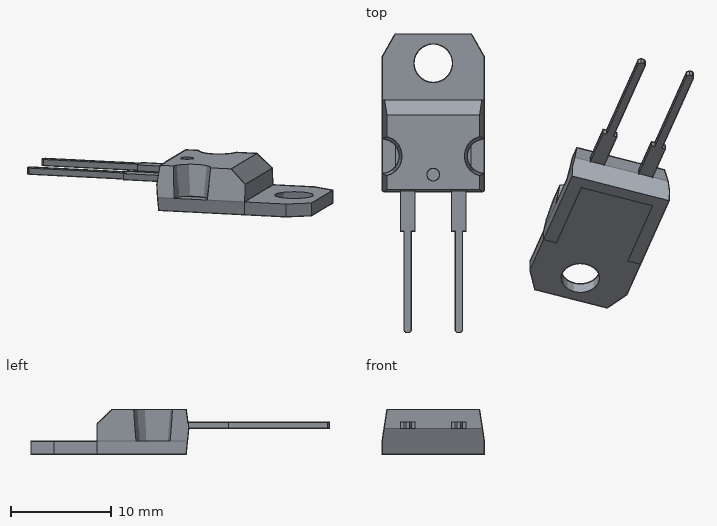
import cadquery as cq


width = 10.2
height = 4.5
overall_length = 29.75

tab_thickness = 1.3
tab_length = 6.57
tab_end_width = 7.62
tab_corner_length = 2.3
tab_hole_diameter = 3.8
tab_hole_to_end = 2.92
tongue_width = 7.5
tongue_length = 7.74

housing_length = 9.15
housing_top_width = 9.22
parting_height = 2.6
end_draft = 0.27
bevel_length = 1.52
bevel_start_height = 3.03

notch_y = -5.6
notch_top_radius = 2.0
notch_floor_radius = 1.7

dimple_y = -7.45
dimple_diameter = 1.25
dimple_depth = 0.18

lead_pitch = 5.1
lead_thickness = 0.62
lead_wide_width = 1.45
lead_thin_width = 0.75
lead_embedding = 1.5
lead_step_y = -13.1
lead_tip_y = tab_length - overall_length
lead_tip_chamfer = 0.2


def make_tab():
    """Drilled plate with clipped corners and a narrower tongue under the housing."""
    half_width = width / 2
    half_end = tab_end_width / 2
    shoulder_y = tab_length - tab_corner_length
    outline = [
        (-half_width, 0),
        (-half_width, shoulder_y),
        (-half_end, tab_length),
        (half_end, tab_length),
        (half_width, shoulder_y),
        (half_width, 0),
    ]
    plate = cq.Workplane("XY").polyline(outline).close().extrude(tab_thickness)
    tongue = cq.Workplane("XY").box(
        tongue_width, tongue_length, tab_thickness, centered=(True, False, False)
    ).translate((0, -tongue_length, 0))
    hole = (
        cq.Workplane("XY")
        .center(0, tab_length - tab_hole_to_end)
        .circle(tab_hole_diameter / 2)
        .extrude(tab_thickness)
    )
    return plate.union(tongue).cut(hole)


def make_lead(x):
    """Flat lead that steps to a thin leg with a chamfered tip."""
    half_wide = lead_wide_width / 2
    half_thin = lead_thin_width / 2
    half_tip = half_thin - lead_tip_chamfer
    root_y = lead_embedding - housing_length
    chamfer_y = lead_tip_y + lead_tip_chamfer
    outline = [
        (-half_wide, root_y),
        (-half_wide, lead_step_y),
        (-half_thin, lead_step_y),
        (-half_thin, chamfer_y),
        (-half_tip, lead_tip_y),
        (half_tip, lead_tip_y),
        (half_thin, chamfer_y),
        (half_thin, lead_step_y),
        (half_wide, lead_step_y),
        (half_wide, root_y),
    ]
    blank = cq.Workplane("XY").polyline(outline).close().extrude(lead_thickness)
    return blank.translate((x, 0, parting_height))


def make_housing_block():
    """Intersection of the lengthwise profile and the cross-section with drafted sides."""
    drafted_end_y = end_draft - housing_length
    length_profile = [
        (0, 0),
        (0, bevel_start_height),
        (-bevel_length, height),
        (drafted_end_y, height),
        (-housing_length, parting_height),
        (drafted_end_y, 0),
    ]
    half_width = width / 2
    half_top = housing_top_width / 2
    cross_section = [
        (-half_width, 0),
        (-half_width, tab_thickness),
        (-half_top, height),
        (half_top, height),
        (half_width, tab_thickness),
        (half_width, 0),
    ]
    lengthwise = cq.Workplane("YZ").polyline(length_profile).close().extrude(half_width, both=True)
    crosswise = cq.Workplane("XZ").polyline(cross_section).close().extrude(housing_length)
    return lengthwise.intersect(crosswise)


def make_notch(x):
    """Cone frustum, wider at the top, that stops level with the top of the tab."""
    return (
        cq.Workplane("XY", origin=(x, notch_y, tab_thickness))
        .circle(notch_floor_radius)
        .workplane(offset=height - tab_thickness)
        .circle(notch_top_radius)
        .loft()
    )


def make_dimple():
    return (
        cq.Workplane("XY", origin=(0, dimple_y, height - dimple_depth))
        .circle(dimple_diameter / 2)
        .extrude(dimple_depth)
    )


def make_housing(tab, leads):
    """Moulded block with side notches, a dimple, and fitted recesses for tab and leads."""
    housing = make_housing_block().cut(make_dimple()).cut(tab)
    for side in (-1, 1):
        housing = housing.cut(make_notch(side * width / 2))
    for lead in leads:
        housing = housing.cut(lead)
    return housing


tab = make_tab()
leads = [make_lead(side * lead_pitch / 2) for side in (-1, 1)]
housing = make_housing(tab, leads)

result = cq.Compound.makeCompound([tab.val(), housing.val(), *[lead.val() for lead in leads]])